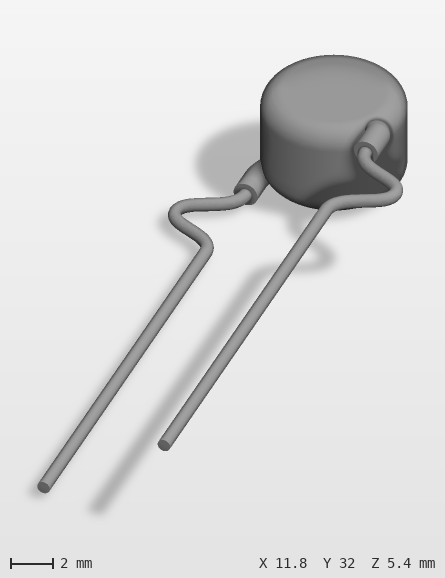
import cadquery as cq
import math

disc_radius = 3.5
disc_height = 4.95
disc_fillet = 1.0

wire_radius = 0.32
lead_x = 3.07
lead_z = 2.1
lead_end_y = -28.5

kink_apex_x = 5.6
kink_half_length = 2.5
outer_handle = 1.5
apex_handle = 1.2

sleeve_radius = 0.6
sleeve_end_y = -3.5
sleeve_length = 1.28
elbow_bend_radius = 0.65
elbow_angle = 90
root_length = 0.95
inward_tilt = math.radians(35)

sleeve_top_y = sleeve_end_y + sleeve_length
kink_apex_y = sleeve_end_y - kink_half_length
kink_end_y = kink_apex_y - kink_half_length


def make_disc():
    """Cylinder with both rims rounded."""
    return cq.Workplane("XY").cylinder(disc_height, disc_radius).edges("%CIRCLE").fillet(disc_fillet)


def make_sleeve(side):
    """Straight sleeve and an elbow that turns into the disc; side is +1 or -1."""
    axis_start = cq.Vector(side * lead_x, sleeve_end_y, side * lead_z)
    elbow_start = cq.Vector(side * lead_x, sleeve_top_y, side * lead_z)
    along = cq.Vector(0, 1, 0)
    inward = cq.Vector(-side * math.cos(inward_tilt), 0, -side * math.sin(inward_tilt))
    straight = cq.Workplane(cq.Solid.makeCylinder(sleeve_radius, sleeve_length, axis_start, along))

    section_plane = cq.Plane(origin=elbow_start, xDir=inward, normal=along)
    elbow = (
        cq.Workplane(section_plane)
        .circle(sleeve_radius)
        .revolve(elbow_angle, (elbow_bend_radius, 0), (elbow_bend_radius, 1))
    )
    root_start = elbow_start + (along + inward) * elbow_bend_radius
    root = cq.Workplane(cq.Solid.makeCylinder(sleeve_radius, root_length, root_start, inward))
    return straight.union(elbow).union(root)


def make_lead(side):
    """Round wire from inside the sleeve, through the kink, to its straight end."""
    x = side * lead_x
    apex_x = side * kink_apex_x
    path = (
        cq.Workplane("XY", origin=(0, 0, side * lead_z))
        .moveTo(x, sleeve_top_y)
        .lineTo(x, sleeve_end_y)
        .bezier([
            (x, sleeve_end_y),
            (x, sleeve_end_y - outer_handle),
            (apex_x, kink_apex_y + apex_handle),
            (apex_x, kink_apex_y),
        ])
        .bezier([
            (apex_x, kink_apex_y),
            (apex_x, kink_apex_y - apex_handle),
            (x, kink_end_y + outer_handle),
            (x, kink_end_y),
        ])
        .lineTo(x, lead_end_y)
    )
    section = cq.Workplane("XZ", origin=(x, sleeve_top_y, side * lead_z)).circle(wire_radius)
    return section.sweep(path)


def make_lead_hole(side):
    """Blind hole through the straight part of a sleeve."""
    start = cq.Vector(side * lead_x, sleeve_end_y, side * lead_z)
    return cq.Workplane(cq.Solid.makeCylinder(wire_radius, sleeve_length, start, cq.Vector(0, 1, 0)))


sides = (1, -1)

housing = make_disc()
for side in sides:
    housing = housing.union(make_sleeve(side))
for side in sides:
    housing = housing.cut(make_lead_hole(side))

leads = [make_lead(side).val() for side in sides]

result = cq.Compound.makeCompound([housing.val(), *leads])